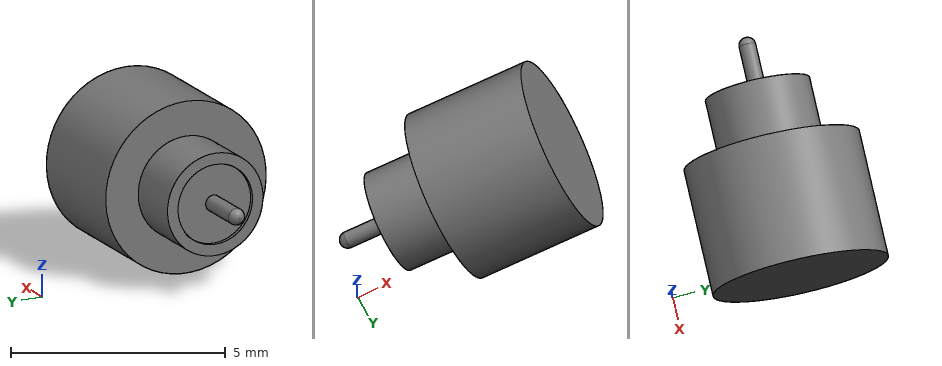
import cadquery as cq

BODY_DIAMETER = 4.2
BODY_LENGTH = 3.05
SLEEVE_DIAMETER = 2.5
SLEEVE_LENGTH = 1.5
RECESS_DIAMETER = 1.95
RECESS_DEPTH = 0.1
PIN_DIAMETER = 0.4
PIN_PROJECTION = 1.26
PIN_TIP_ROUND = 0.19

SLEEVE_FACE_X = -SLEEVE_LENGTH
RECESS_FLOOR_X = SLEEVE_FACE_X + RECESS_DEPTH
PIN_TIP_X = SLEEVE_FACE_X - PIN_PROJECTION


def make_turned_part():
    """Revolve the stepped half profile: pin, recess, sleeve and body."""
    pin_radius = PIN_DIAMETER / 2
    recess_radius = RECESS_DIAMETER / 2
    sleeve_radius = SLEEVE_DIAMETER / 2
    body_radius = BODY_DIAMETER / 2
    profile = (
        cq.Workplane("XZ")
        .moveTo(PIN_TIP_X, 0)
        .lineTo(PIN_TIP_X, pin_radius)
        .lineTo(RECESS_FLOOR_X, pin_radius)
        .lineTo(RECESS_FLOOR_X, recess_radius)
        .lineTo(SLEEVE_FACE_X, recess_radius)
        .lineTo(SLEEVE_FACE_X, sleeve_radius)
        .lineTo(0, sleeve_radius)
        .lineTo(0, body_radius)
        .lineTo(BODY_LENGTH, body_radius)
        .lineTo(BODY_LENGTH, 0)
        .close()
    )
    return profile.revolve(360, (0, 0, 0), (1, 0, 0))


def round_pin_tip(part):
    """Round the free end of the pin, the face furthest toward -X."""
    return part.faces("<X").edges().fillet(PIN_TIP_ROUND)


result = round_pin_tip(make_turned_part())